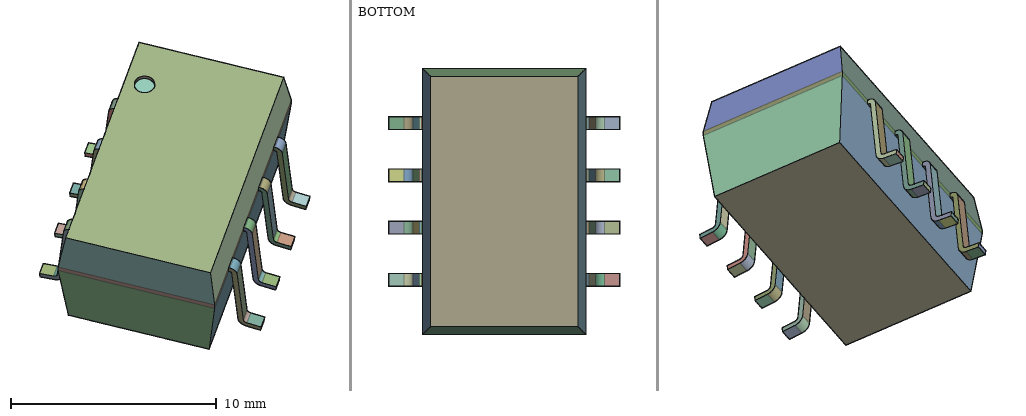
import cadquery as cq
import math

overall_width = 11.25
overall_height = 6.6

body_width = 7.95
body_length = 12.95
band_top = 4.48
lead_thickness = 0.28
band_bottom = band_top - lead_thickness
body_bottom = 0.18
top_inset = 0.3
bottom_inset = 0.4

mark_diameter = 1.0
mark_depth = 0.2
mark_x = -2.68

lead_width = 0.64
lead_pitch = 2.54
leads_per_row = 4
lead_tilt = 5.0
shoulder_inner_radius = 0.1
ankle_inner_radius = 0.2
foot_length = 0.72
shoulder_outer_radius = shoulder_inner_radius + lead_thickness
ankle_outer_radius = ankle_inner_radius + lead_thickness

first_lead_y = (leads_per_row - 1) * lead_pitch / 2
lead_positions = [first_lead_y - i * lead_pitch for i in range(leads_per_row)]


def polar(origin, distance, angle):
    """Point at a distance and an angle in degrees from an origin in the XZ plane."""
    return (
        origin[0] + distance * math.cos(math.radians(angle)),
        origin[1] + distance * math.sin(math.radians(angle)),
    )


def tapered_half(start_z, end_z, inset):
    """Half of the housing, narrowing by the inset on every side from start_z to end_z."""
    return (
        cq.Workplane("XY", origin=(0, 0, start_z))
        .rect(body_width, body_length)
        .workplane(offset=end_z - start_z)
        .rect(body_width - 2 * inset, body_length - 2 * inset)
        .loft(ruled=True, combine=True)
    )


def make_housing():
    band = (
        cq.Workplane("XY", origin=(0, 0, band_bottom))
        .box(body_width, body_length, lead_thickness, centered=(True, True, False))
    )
    mark = (
        cq.Workplane("XY", origin=(mark_x, first_lead_y, overall_height - mark_depth))
        .circle(mark_diameter / 2)
        .extrude(mark_depth)
    )
    return (
        band
        .union(tapered_half(band_top, overall_height, top_inset))
        .union(tapered_half(band_bottom, body_bottom, bottom_inset))
        .cut(mark)
    )


def make_lead(y):
    """Lead on the +X side, centred on the given Y."""
    tilt = math.radians(lead_tilt)
    foot_angle = -lead_tilt
    centre_spacing = shoulder_outer_radius + ankle_inner_radius

    shoulder_z = band_top - shoulder_outer_radius
    ankle_z = ankle_outer_radius * math.cos(tilt) + foot_length * math.sin(tilt)
    leg_length = (shoulder_z + centre_spacing * math.sin(tilt) - ankle_z) / math.cos(tilt)
    ankle_x = overall_width / 2 - foot_length * math.cos(tilt) + ankle_inner_radius * math.sin(tilt)
    shoulder_x = ankle_x - centre_spacing * math.cos(tilt) - leg_length * math.sin(tilt)
    shoulder = (shoulder_x, shoulder_z)
    ankle = (ankle_x, ankle_z)

    shoulder_angles = (90, (90 + lead_tilt) / 2, lead_tilt)
    ankle_angles = (180 + lead_tilt, 225, 270 - lead_tilt)

    shoulder_outer = [polar(shoulder, shoulder_outer_radius, a) for a in shoulder_angles]
    shoulder_inner = [polar(shoulder, shoulder_inner_radius, a) for a in shoulder_angles]
    ankle_outer = [polar(ankle, ankle_outer_radius, a) for a in ankle_angles]
    ankle_inner = [polar(ankle, ankle_inner_radius, a) for a in ankle_angles]

    return (
        cq.Workplane("XZ", origin=(0, y + lead_width / 2, 0))
        .moveTo(body_width / 2, band_top)
        .lineTo(*shoulder_outer[0])
        .threePointArc(*shoulder_outer[1:])
        .lineTo(*ankle_inner[0])
        .threePointArc(*ankle_inner[1:])
        .lineTo(*polar(ankle_inner[2], foot_length, foot_angle))
        .lineTo(*polar(ankle_outer[2], foot_length, foot_angle))
        .lineTo(*ankle_outer[2])
        .threePointArc(ankle_outer[1], ankle_outer[0])
        .lineTo(*shoulder_inner[2])
        .threePointArc(shoulder_inner[1], shoulder_inner[0])
        .lineTo(body_width / 2, band_bottom)
        .close()
        .extrude(lead_width)
    )


housing = make_housing()

leads = []
for lead_y in lead_positions:
    right_lead = make_lead(lead_y)
    leads.append(right_lead.val())
    leads.append(right_lead.mirror("YZ").val())

result = cq.Compound.makeCompound([housing.val(), *leads])